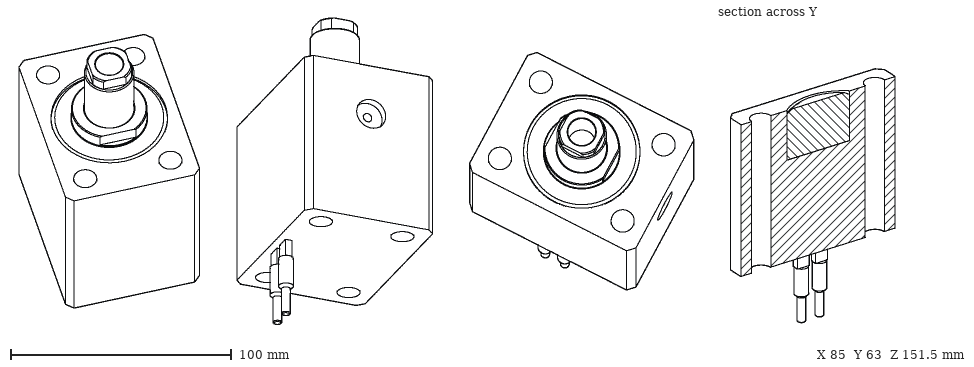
import cadquery as cq
import math

TOTAL_HEIGHT = 151.5
PIN_TOP = 12.7
SLEEVE_BOTTOM = 14.1
SLEEVE_TOP = 28.0
HOUSING_BOTTOM = 35.9
HOUSING_HEIGHT = 77.1
HOUSING_TOP = HOUSING_BOTTOM + HOUSING_HEIGHT

HOUSING_LENGTH = 85.0
HOUSING_WIDTH = 63.0
CORNER_CHAMFER = 3.2
MOUNT_HOLE_DIAMETER = 10.5
MOUNT_SPACING_X = 62.7
MOUNT_SPACING_Y = 40.0

GLAND_RADIUS = 26.4
GLAND_CHAMFER = 1.7
GLAND_DEPTH = 25.1
GLAND_BOTTOM = HOUSING_TOP - GLAND_DEPTH
COLLAR_RADIUS = 17.1
COLLAR_HEIGHT = 6.8
COLLAR_CHAMFER = 0.5
COLLAR_FOOT_BEVEL = 0.3
COLLAR_FLAT_START = 0.9
COLLAR_ACROSS_FLATS = 29.8
BORE_CHAMFER = 0.5

PORT_DROP = 24.1
PORT_DIAMETER = 14.2
PORT_DEPTH = 4.2
PORT_DRILL_DIAMETER = 4.1
PORT_DRILL_OVERTRAVEL = 0.5
PORT_DRILL_DEPTH = HOUSING_LENGTH / 2 - GLAND_RADIUS + PORT_DRILL_OVERTRAVEL

ROD_RADIUS = 11.2
ROD_CHAMFER = 0.6
TIP_RADIUS = 10.5
TIP_ACROSS_FLATS = 18.0
TIP_HEIGHT = 5.6
ROD_HOLE_DIAMETER = 12.5
ROD_HOLE_CHAMFER = 0.3
ROD_HOLE_DEPTH = 22.7
DRILL_POINT_ANGLE = 118.0

CONTACT_SPACING = 10.0
CONTACT_Y = 26.0
SLEEVE_DIAMETER = 6.7
TAB_THICKNESS = 3.3
PIN_DIAMETER = 4.1
PIN_CHAMFER = 0.5


def make_side_port():
    """Cutter for the port in the -X side: a wide recess and a narrow drilled hole."""
    side_plane = cq.Plane(
        origin=(-HOUSING_LENGTH / 2, 0, HOUSING_TOP - PORT_DROP), xDir=(0, 1, 0), normal=(1, 0, 0)
    )
    recess = cq.Workplane(side_plane).circle(PORT_DIAMETER / 2).extrude(PORT_DEPTH)
    drill = cq.Workplane(side_plane).circle(PORT_DRILL_DIAMETER / 2).extrude(PORT_DRILL_DEPTH)
    return recess.union(drill)


def make_housing():
    block = (
        cq.Workplane("XY", origin=(0, 0, HOUSING_BOTTOM))
        .rect(HOUSING_LENGTH, HOUSING_WIDTH)
        .extrude(HOUSING_HEIGHT)
        .edges("|Z")
        .chamfer(CORNER_CHAMFER)
    )
    drilled_block = (
        block.faces(">Z")
        .workplane()
        .rect(MOUNT_SPACING_X, MOUNT_SPACING_Y, forConstruction=True)
        .vertices()
        .hole(MOUNT_HOLE_DIAMETER)
    )
    gland_seat = (
        cq.Workplane("XY", origin=(0, 0, HOUSING_TOP))
        .circle(GLAND_RADIUS)
        .extrude(-GLAND_DEPTH)
    )
    return drilled_block.cut(gland_seat).cut(make_side_port())


def make_gland_disc():
    """Disc flush with the housing top, chamfered on its outer edge."""
    return (
        cq.Workplane("XY", origin=(0, 0, GLAND_BOTTOM))
        .circle(GLAND_RADIUS)
        .extrude(GLAND_DEPTH)
        .faces(">Z")
        .chamfer(GLAND_CHAMFER)
    )


def make_collar():
    """Round collar with a beveled foot and two wrench flats facing -X and +X."""
    upper = (
        cq.Workplane("XY", origin=(0, 0, HOUSING_TOP))
        .circle(COLLAR_RADIUS)
        .extrude(COLLAR_HEIGHT)
        .faces(">Z")
        .chamfer(COLLAR_CHAMFER)
    )
    flat_slab = (
        cq.Workplane("XY", origin=(0, 0, HOUSING_TOP))
        .rect(COLLAR_ACROSS_FLATS, 2 * COLLAR_RADIUS)
        .extrude(COLLAR_HEIGHT)
    )
    round_base = (
        cq.Workplane("XY", origin=(0, 0, HOUSING_TOP))
        .circle(COLLAR_RADIUS)
        .extrude(COLLAR_FLAT_START)
    )
    foot_radius = COLLAR_RADIUS + COLLAR_FOOT_BEVEL
    foot = cq.Workplane(
        cq.Solid.makeCone(foot_radius, COLLAR_RADIUS, COLLAR_FOOT_BEVEL, pnt=(0, 0, HOUSING_TOP))
    )
    return upper.intersect(flat_slab).union(round_base).union(foot)


def make_rod_bore():
    """Cutter for the rod bore through the gland, widening at the top of the collar."""
    collar_top = HOUSING_TOP + COLLAR_HEIGHT
    bore = (
        cq.Workplane("XY", origin=(0, 0, GLAND_BOTTOM))
        .circle(ROD_RADIUS)
        .extrude(GLAND_DEPTH + COLLAR_HEIGHT)
    )
    mouth_radius = ROD_RADIUS + BORE_CHAMFER
    mouth = cq.Workplane(
        cq.Solid.makeCone(
            ROD_RADIUS, mouth_radius, BORE_CHAMFER, pnt=(0, 0, collar_top - BORE_CHAMFER)
        )
    )
    return bore.union(mouth)


def make_gland():
    return make_gland_disc().union(make_collar()).cut(make_rod_bore())


def make_rod_tip():
    """Round tip with four flats."""
    tip_bottom = TOTAL_HEIGHT - TIP_HEIGHT
    turned = (
        cq.Workplane("XY", origin=(0, 0, tip_bottom))
        .circle(TIP_RADIUS)
        .extrude(TIP_HEIGHT)
        .faces(">Z")
        .chamfer(ROD_CHAMFER)
    )
    square = (
        cq.Workplane("XY", origin=(0, 0, tip_bottom))
        .rect(TIP_ACROSS_FLATS, TIP_ACROSS_FLATS)
        .extrude(TIP_HEIGHT)
    )
    return turned.intersect(square)


def make_end_hole():
    """Cutter for the blind hole in the rod end, with a chamfered mouth and a conical drill point."""
    radius = ROD_HOLE_DIAMETER / 2
    point_length = radius / math.tan(math.radians(DRILL_POINT_ANGLE / 2))
    wall_bottom = TOTAL_HEIGHT - ROD_HOLE_DEPTH
    profile = [
        (0, TOTAL_HEIGHT),
        (radius + ROD_HOLE_CHAMFER, TOTAL_HEIGHT),
        (radius, TOTAL_HEIGHT - ROD_HOLE_CHAMFER),
        (radius, wall_bottom),
        (0, wall_bottom - point_length),
    ]
    return cq.Workplane("XZ").polyline(profile).close().revolve(360, (0, 0), (0, 1))


def make_rod():
    shank = (
        cq.Workplane("XY", origin=(0, 0, GLAND_BOTTOM))
        .circle(ROD_RADIUS)
        .extrude(TOTAL_HEIGHT - TIP_HEIGHT - GLAND_BOTTOM)
        .faces(">Z")
        .chamfer(ROD_CHAMFER)
    )
    return shank.union(make_rod_tip()).cut(make_end_hole())


def make_contact(x):
    """Flat tab under the housing, carrying a round sleeve that tapers to a thin pin."""
    pin_radius = PIN_DIAMETER / 2
    sleeve_radius = SLEEVE_DIAMETER / 2
    taper_radius = pin_radius + SLEEVE_BOTTOM - PIN_TOP
    profile = [
        (0, 0),
        (pin_radius - PIN_CHAMFER, 0),
        (pin_radius, PIN_CHAMFER),
        (pin_radius, PIN_TOP),
        (taper_radius, SLEEVE_BOTTOM),
        (sleeve_radius, SLEEVE_BOTTOM),
        (sleeve_radius, SLEEVE_TOP),
        (0, SLEEVE_TOP),
    ]
    turned = cq.Workplane("XZ").polyline(profile).close().revolve(360, (0, 0), (0, 1))
    tab = (
        cq.Workplane("XY", origin=(0, 0, SLEEVE_TOP))
        .rect(SLEEVE_DIAMETER, TAB_THICKNESS)
        .extrude(HOUSING_BOTTOM - SLEEVE_TOP)
    )
    return turned.union(tab).translate((x, CONTACT_Y, 0))


housing = make_housing()
gland = make_gland()
rod = make_rod()
contacts = [make_contact(side * CONTACT_SPACING / 2) for side in (-1, 1)]

result = cq.Compound.makeCompound(
    [housing.val(), gland.val(), rod.val(), *[contact.val() for contact in contacts]]
)